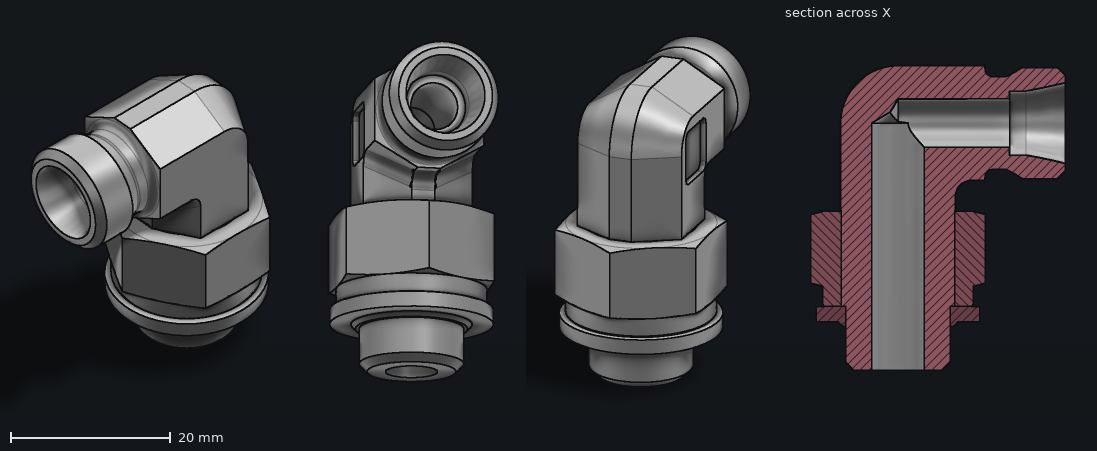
import cadquery as cq
import math


hex_width = 14.0
bar_half_depth = 7.22
overall_height = 38.22
branch_z = overall_height - bar_half_depth
block_front_y = -10.95
inner_bend_radius = 2.0

tip_y = -21.0
tip_diameter = hex_width
tip_chamfer = 1.0
tip_thread_end_y = -15.55
neck_diameter = 11.7
neck_taper_angle = 30
neck_root_radius = 1.0
neck_blend_radius = 0.88
socket_mouth_diameter = 10.1
socket_floor_diameter = 8.0
socket_half_angle = 12
socket_depth = 7.0

branch_bore_diameter = 6.0
stem_bore_diameter = 6.5
drill_half_angle = 59

thread_diameter = 13.15
thread_chamfer = 1.0
shank_diameter = 14.3

panel_size = 7.05
panel_radius = 1.0
panel_depth = 0.8
panel_offset = -1.0

nut_width = 19.0
nut_top_z = 19.95
nut_hex_bottom_z = 10.5
nut_bottom_z = 8.0
nut_chamfer_angle = 15
nut_collar_chamfer = 0.23

ring_diameter = 20.55
ring_bottom_z = 6.08
ring_lip_z = 5.5
ring_lip_diameter = 14.05

hex_half_angle = math.radians(30)


def revolve_about_z(points):
    """Turn a closed (radius, z) outline about the Z axis."""
    return cq.Workplane("XZ").polyline(points).close().revolve(360, (0, 0), (0, 1))


def on_branch_axis(body):
    """Move a body built along Z so its +Z runs along the branch, out toward -Y."""
    return body.rotate((0, 0, 0), (1, 0, 0), 90).translate((0, 0, branch_z))


def drilled_hole(diameter, depth):
    """A drill-shaped cutter: conical point above Z = 0, straight down to -depth."""
    radius = diameter / 2
    point_height = radius / math.tan(math.radians(drill_half_angle))
    return revolve_about_z([(0, -depth), (radius, -depth), (radius, 0), (0, point_height)])


half_width = hex_width / 2
hex_slope = math.tan(hex_half_angle)
side_half_height = half_width * hex_slope
cut_half_width = half_width - (bar_half_depth - side_half_height) / hex_slope

outer_half = [
    (half_width, side_half_height),
    (cut_half_width, bar_half_depth),
    (-cut_half_width, bar_half_depth),
    (-half_width, side_half_height),
]


def elbow_block():
    """Bar bent through a right angle, round on the outside and filleted on the inside."""
    bar = outer_half + [(-x, -y) for x, y in outer_half]
    stem_leg = (
        cq.Workplane("XY", origin=(0, 0, nut_top_z)).polyline(bar).close().extrude(branch_z - nut_top_z)
    )
    branch_leg = cq.Workplane("XZ", origin=(0, 0, branch_z)).polyline(bar).close().extrude(-block_front_y)
    outer_bend = (
        cq.Workplane("XY", origin=(0, 0, branch_z))
        .polyline([(half_width, 0)] + outer_half + [(-half_width, 0)])
        .close()
        .revolve(90, (0, 0), (1, 0))
    )
    margin = 0.4
    inner_corner_edges = cq.selectors.BoxSelector(
        (-half_width, -bar_half_depth - margin, branch_z - bar_half_depth - margin),
        (half_width, -side_half_height - margin, branch_z - side_half_height - margin),
    )
    block = stem_leg.union(branch_leg).union(outer_bend)
    return block.edges(inner_corner_edges).fillet(inner_bend_radius)


def branch_end():
    """Neck and threaded tip, with distances measured out along the branch."""
    neck_radius = neck_diameter / 2
    tip_radius = tip_diameter / 2
    block_face = -block_front_y
    tip_end = -tip_y
    taper_end = -tip_thread_end_y
    taper_angle = math.radians(neck_taper_angle)
    taper_start = taper_end - (tip_radius - neck_radius) / math.tan(taper_angle)

    blend_start = taper_start - neck_blend_radius * math.tan(taper_angle / 2)

    def blend_point(angle):
        return (
            neck_radius + neck_blend_radius * (1 - math.cos(angle)),
            blend_start + neck_blend_radius * math.sin(angle),
        )

    root_centre = (neck_radius + neck_root_radius, block_face + neck_root_radius)
    root_reach = neck_root_radius * math.sqrt(0.5)
    root_middle = (root_centre[0] - root_reach, root_centre[1] - root_reach)
    outline = (
        cq.Workplane("XZ")
        .moveTo(0, block_face)
        .lineTo(root_centre[0], block_face)
        .threePointArc(root_middle, (neck_radius, root_centre[1]))
        .lineTo(neck_radius, blend_start)
        .threePointArc(blend_point(taper_angle / 2), blend_point(taper_angle))
        .lineTo(tip_radius, taper_end)
        .lineTo(tip_radius, tip_end - tip_chamfer)
        .lineTo(tip_radius - tip_chamfer, tip_end)
        .lineTo(0, tip_end)
        .close()
    )
    return on_branch_axis(outline.revolve(360, (0, 0), (0, 1)))


def stem():
    """Shank inside the nut, then the thinner threaded end below it."""
    shank_radius = shank_diameter / 2
    thread_radius = thread_diameter / 2
    return revolve_about_z([
        (0, 0),
        (thread_radius - thread_chamfer, 0),
        (thread_radius, thread_chamfer),
        (thread_radius, nut_bottom_z),
        (shank_radius, nut_bottom_z),
        (shank_radius, nut_top_z),
        (0, nut_top_z),
    ])


def tube_socket():
    """Cutter with a tapered mouth and a straight length that ends on a flat floor."""
    mouth_radius = socket_mouth_diameter / 2
    floor_radius = socket_floor_diameter / 2
    mouth = -tip_y
    taper_end = mouth - (mouth_radius - floor_radius) / math.tan(math.radians(socket_half_angle))
    floor = mouth - socket_depth
    return on_branch_axis(
        revolve_about_z([
            (0, floor),
            (floor_radius, floor),
            (floor_radius, taper_end),
            (mouth_radius, mouth),
            (0, mouth),
        ])
    )


def marking_panel():
    """Shallow square cutter with rounded corners."""
    return (
        cq.Workplane("YZ", origin=(-half_width, panel_offset, branch_z + panel_offset))
        .rect(panel_size, panel_size)
        .extrude(panel_depth)
        .edges("|X")
        .fillet(panel_radius)
    )


def build_elbow():
    stem_bore = drilled_hole(stem_bore_diameter, branch_z).translate((0, 0, branch_z))
    branch_bore = (
        drilled_hole(branch_bore_diameter, -tip_y)
        .rotate((0, 0, 0), (1, 0, 0), -90)
        .translate((0, 0, branch_z))
    )
    return (
        elbow_block()
        .union(branch_end())
        .union(stem())
        .cut(stem_bore)
        .cut(branch_bore)
        .cut(tube_socket())
        .cut(marking_panel())
    )


def build_locknut():
    flat_radius = nut_width / 2
    corner_radius = flat_radius / math.cos(hex_half_angle)
    corner_drop = (corner_radius - flat_radius) * math.tan(math.radians(nut_chamfer_angle))
    hexagon = (
        cq.Workplane("XY", origin=(0, 0, nut_bottom_z))
        .polygon(6, 2 * corner_radius)
        .extrude(nut_top_z - nut_bottom_z)
        .rotate((0, 0, 0), (0, 0, 1), math.degrees(hex_half_angle))
    )
    envelope = revolve_about_z([
        (0, nut_bottom_z),
        (flat_radius - nut_collar_chamfer, nut_bottom_z),
        (flat_radius, nut_bottom_z + nut_collar_chamfer),
        (flat_radius, nut_hex_bottom_z),
        (corner_radius, nut_hex_bottom_z + corner_drop),
        (corner_radius, nut_top_z - corner_drop),
        (flat_radius, nut_top_z),
        (0, nut_top_z),
    ])
    bore = (
        cq.Workplane("XY", origin=(0, 0, nut_bottom_z))
        .circle(shank_diameter / 2)
        .extrude(nut_top_z - nut_bottom_z)
    )
    return hexagon.intersect(envelope).cut(bore)


def build_retaining_ring():
    """Flat ring with a lip below it that narrows at 45 degrees."""
    inner_radius = thread_diameter / 2
    outer_radius = ring_diameter / 2
    lip_radius = ring_lip_diameter / 2
    return revolve_about_z([
        (inner_radius, ring_lip_z),
        (lip_radius, ring_lip_z),
        (lip_radius + ring_bottom_z - ring_lip_z, ring_bottom_z),
        (outer_radius, ring_bottom_z),
        (outer_radius, nut_bottom_z),
        (inner_radius, nut_bottom_z),
    ])


elbow = build_elbow()
locknut = build_locknut()
retaining_ring = build_retaining_ring()

result = cq.Compound.makeCompound([elbow.val(), locknut.val(), retaining_ring.val()])